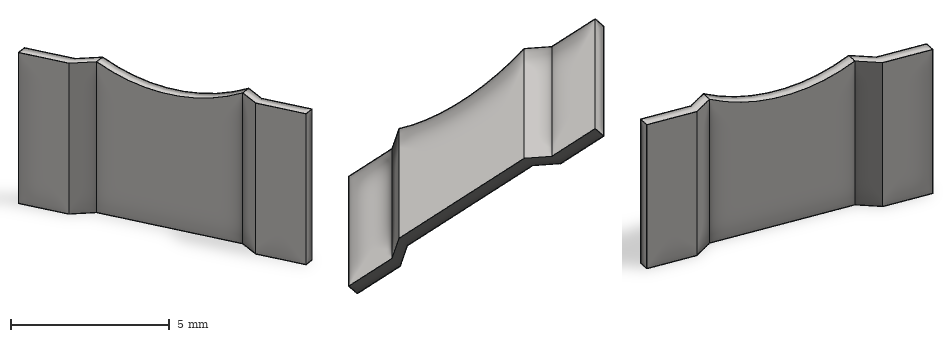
import cadquery as cq

length = 10.2
height = 5.2
depth = 0.92

pad_thickness = 0.01
strip_thickness = 0.41
foot_length = 1.8
raised_length = 5.18
notch_depth = 0.59

end_x = length / 2
foot_x = end_x - foot_length
raised_x = raised_length / 2

foot_front_y = pad_thickness
foot_back_y = foot_front_y + strip_thickness
raised_back_y = depth
raised_front_y = raised_back_y - strip_thickness


def make_strip():
    """Bent strip with flat feet, sloped steps and an arc cut in its top edge."""
    strip = (
        cq.Workplane("XY")
        .moveTo(-end_x, foot_front_y)
        .lineTo(-foot_x, foot_front_y)
        .lineTo(-raised_x, raised_front_y)
        .lineTo(raised_x, raised_front_y)
        .lineTo(foot_x, foot_front_y)
        .lineTo(end_x, foot_front_y)
        .lineTo(end_x, foot_back_y)
        .lineTo(foot_x, foot_back_y)
        .lineTo(raised_x, raised_back_y)
        .lineTo(-raised_x, raised_back_y)
        .lineTo(-foot_x, foot_back_y)
        .lineTo(-end_x, foot_back_y)
        .close()
        .extrude(height)
    )
    notch = (
        cq.Workplane("XZ")
        .moveTo(-raised_x, height)
        .threePointArc((0, height - notch_depth), (raised_x, height))
        .close()
        .extrude(-depth)
    )
    notched = strip.cut(notch)
    return cq.Workplane(notched.solids().val())


def make_pad(center_x):
    """Thin contact layer covering the front face of one foot."""
    return (
        cq.Workplane("XY")
        .center(center_x, pad_thickness / 2)
        .rect(foot_length, pad_thickness)
        .extrude(height)
    )


strip = make_strip()
pad_center_x = end_x - foot_length / 2
pads = [make_pad(side * pad_center_x) for side in (-1, 1)]

result = cq.Compound.makeCompound([strip.val(), *[pad.val() for pad in pads]])